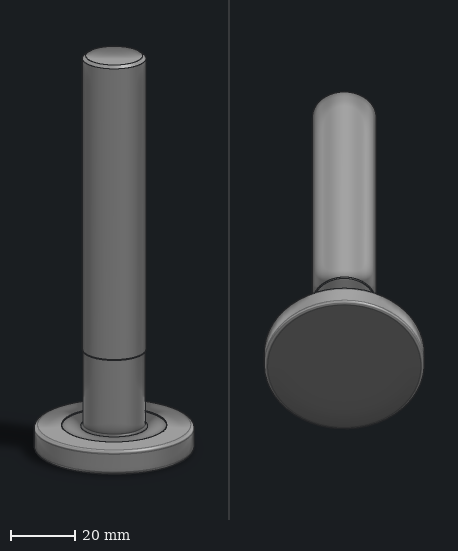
import cadquery as cq

total_height = 130.0
foot_diameter = 50.0
foot_height = 8.0

core_diameter = 47.86
core_top_diameter = 45.8
cover_top_skin = 0.4
window_diameter = 32.8

shank_diameter = 19.99
neck_diameter = 19.5
base_flare = 0.7
shank_length = 97.4
shoulder_chamfer_height = 0.4
tip_chamfer_width = 1.1
tip_chamfer_height = 0.9

foot_radius = foot_diameter / 2
core_radius = core_diameter / 2
shank_radius = shank_diameter / 2
neck_radius = neck_diameter / 2
cover_wall = foot_radius - core_radius
core_edge_round = (core_diameter - core_top_diameter) / 2
core_bottom_z = cover_wall
core_top_z = foot_height - cover_top_skin
shoulder_z = total_height - shank_length


def make_core():
    """Round plate with a rounded top edge; it carries the spindle."""
    return (
        cq.Workplane("XY")
        .workplane(offset=core_bottom_z)
        .circle(core_radius)
        .extrude(core_top_z - core_bottom_z)
        .faces(">Z")
        .edges()
        .fillet(core_edge_round)
    )


def make_cover(core):
    """Shell around the core, open at the top through a round window."""
    outside = (
        cq.Workplane("XY")
        .circle(foot_radius)
        .extrude(foot_height)
        .edges()
        .fillet(cover_wall)
    )
    window = (
        cq.Workplane("XY")
        .workplane(offset=core_top_z)
        .circle(window_diameter / 2)
        .extrude(cover_top_skin)
    )
    return outside.cut(core).cut(window)


def make_spindle():
    """Stepped round bar standing on the core."""
    profile = (
        cq.Workplane("XZ")
        .moveTo(0, core_top_z)
        .lineTo(neck_radius + base_flare, core_top_z)
        .radiusArc((neck_radius, core_top_z + base_flare), base_flare)
        .lineTo(neck_radius, shoulder_z)
        .lineTo(shank_radius, shoulder_z + shoulder_chamfer_height)
        .lineTo(shank_radius, total_height - tip_chamfer_height)
        .lineTo(shank_radius - tip_chamfer_width, total_height)
        .lineTo(0, total_height)
    )
    return profile.close().revolve(360, (0, 0, 0), (0, 1, 0))


core = make_core()
cover = make_cover(core)
spindle = make_spindle()

result = cq.Compound.makeCompound([cover.val(), core.val(), spindle.val()])